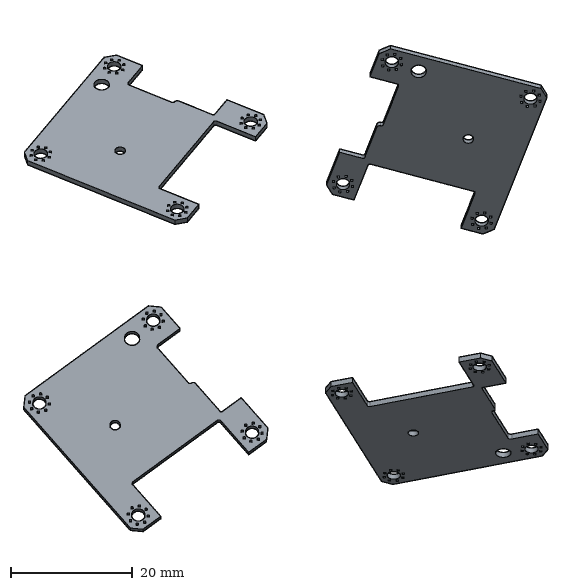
import cadquery as cq

LENGTH = 31.0
WIDTH = 29.0
THICKNESS = 1.0
CORNER_CHAMFER = 1.5

HOLE_EDGE_OFFSET = 2.5
MOUNT_DIAMETER = 2.2
VIA_DIAMETER = 0.4
VIA_RING_RADIUS = 1.65
VIA_COUNT = 8

LEFT_TAB_LENGTH = 6.45
RIGHT_TAB_LENGTH = 8.5
DEEP_NOTCH = 5.08
SHALLOW_NOTCH = 4.25
STEP_FROM_LEFT = 15.3
DEEP_CORNER_RADIUS = 0.5
STEP_CREST_RADIUS = 0.5
STEP_ROOT_RADIUS = DEEP_NOTCH - SHALLOW_NOTCH - STEP_CREST_RADIUS
SHALLOW_CORNER_RADIUS = 0.25

RECESS_DEPTH = 7.75
RECESS_EDGE_OFFSET = 5.25
RECESS_CORNER_RADIUS = 0.37

BUTTON_DIAMETER = 2.5
BUTTON_FROM_LEFT = 2.9
BUTTON_FROM_TOP = 7.3
CENTRE_DIAMETER = 1.7
CENTRE_FROM_LEFT = 13.42
CENTRE_FROM_TOP = 19.28

LEFT = -LENGTH / 2
RIGHT = LENGTH / 2
TOP = WIDTH / 2


def make_plate():
    plate = cq.Workplane("XY").box(LENGTH, WIDTH, THICKNESS, centered=(True, True, False))
    return plate.edges("|Z").chamfer(CORNER_CHAMFER)


def make_top_notch():
    """Notch solid whose outline follows the stepped floor from left to right."""
    notch_left = LEFT + LEFT_TAB_LENGTH
    notch_right = RIGHT - RIGHT_TAB_LENGTH
    step_x = LEFT + STEP_FROM_LEFT
    deep_y = TOP - DEEP_NOTCH
    shallow_y = TOP - SHALLOW_NOTCH
    return (
        cq.Workplane("XY")
        .moveTo(notch_left, TOP)
        .lineTo(notch_left, deep_y + DEEP_CORNER_RADIUS)
        .radiusArc((notch_left + DEEP_CORNER_RADIUS, deep_y), -DEEP_CORNER_RADIUS)
        .lineTo(step_x - STEP_ROOT_RADIUS, deep_y)
        .radiusArc((step_x, deep_y + STEP_ROOT_RADIUS), -STEP_ROOT_RADIUS)
        .radiusArc((step_x + STEP_CREST_RADIUS, shallow_y), STEP_CREST_RADIUS)
        .lineTo(notch_right - SHALLOW_CORNER_RADIUS, shallow_y)
        .radiusArc((notch_right, shallow_y + SHALLOW_CORNER_RADIUS), -SHALLOW_CORNER_RADIUS)
        .lineTo(notch_right, TOP)
        .close()
        .extrude(THICKNESS)
    )


def make_right_recess():
    recess_width = WIDTH - 2 * RECESS_EDGE_OFFSET
    return (
        cq.Workplane("XY")
        .center(RIGHT - RECESS_DEPTH / 2, 0)
        .rect(RECESS_DEPTH, recess_width)
        .extrude(THICKNESS)
        .edges("|Z and <X")
        .fillet(RECESS_CORNER_RADIUS)
    )


def make_hole(x, y, diameter):
    return cq.Workplane("XY").center(x, y).circle(diameter / 2).extrude(THICKNESS)


def cut_mounting_hole(plate, x, y):
    """Cut one mounting hole and its ring of vias through the plate."""
    vias = (
        cq.Workplane("XY")
        .center(x, y)
        .polarArray(VIA_RING_RADIUS, 0, 360, VIA_COUNT)
        .circle(VIA_DIAMETER / 2)
        .extrude(THICKNESS)
    )
    return plate.cut(make_hole(x, y, MOUNT_DIAMETER)).cut(vias)


result = make_plate().cut(make_top_notch()).cut(make_right_recess())

for side_x in (-1, 1):
    for side_y in (-1, 1):
        mount_x = side_x * (LENGTH / 2 - HOLE_EDGE_OFFSET)
        mount_y = side_y * (WIDTH / 2 - HOLE_EDGE_OFFSET)
        result = cut_mounting_hole(result, mount_x, mount_y)

result = result.cut(make_hole(LEFT + BUTTON_FROM_LEFT, TOP - BUTTON_FROM_TOP, BUTTON_DIAMETER))
result = result.cut(make_hole(LEFT + CENTRE_FROM_LEFT, TOP - CENTRE_FROM_TOP, CENTRE_DIAMETER))